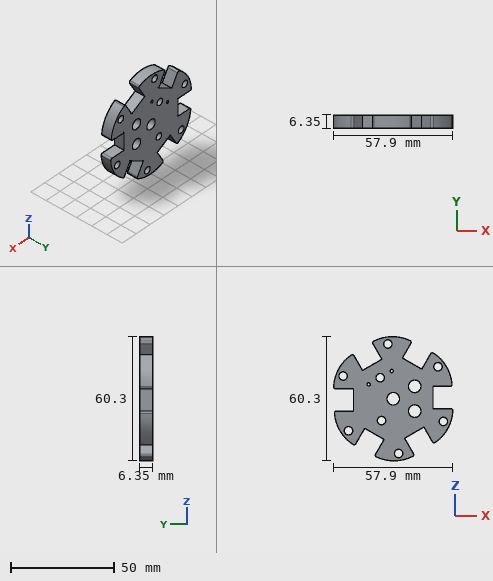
import cadquery as cq
import math

plate_diameter = 60.3
thickness = 6.35

arm_count = 6
arm_rim_radius = 20.0
arm_rim_side_offset = 0.35

slot_width = 10.75
slot_floor_distance = 19.35
slot_side_offset = 0.6
tip_fillet = 1.0

small_diameter = 1.5
medium_diameter = 4.0
large_diameter = 6.0
rim_circle_radius = 26.65
rim_first_angle = 35.6
inner_circle_radius = 12.0
large_hole_angles = (-30, 30)
medium_hole_angles = (121.8, 241.8)
small_hole_spacing = 12.95
small_pair_angle = 30

plate_radius = plate_diameter / 2
arm_pitch = 360 / arm_count
arm_rim_center_distance = plate_radius - arm_rim_radius


def polar(radius, angle):
    """Return the X, Z position at a radius and an angle in degrees."""
    turn = math.radians(angle)
    return (radius * math.cos(turn), radius * math.sin(turn))


def make_lobe(angle):
    """Round lobe whose outer side forms the rim of the arm at the given angle."""
    lobe = cq.Workplane("XZ").center(arm_rim_center_distance, arm_rim_side_offset)
    lobe = lobe.circle(arm_rim_radius).extrude(thickness / 2, both=True)
    return lobe.rotate((0, 0, 0), (0, -1, 0), angle)


def make_slot(angle):
    """Slot cutter that starts at the slot floor and runs out past the rim."""
    cutter = cq.Workplane("XY").box(plate_radius, 2 * thickness, slot_width, centered=(False, True, True))
    cutter = cutter.translate((slot_floor_distance, 0, slot_side_offset))
    return cutter.rotate((0, 0, 0), (0, -1, 0), angle)


def drill(body, points, diameter):
    cutters = cq.Workplane("XZ", origin=(0, thickness, 0)).pushPoints(points)
    cutters = cutters.circle(diameter / 2).extrude(2 * thickness)
    return body.cut(cutters)


first_arm_angle = arm_pitch / 2
plate = make_lobe(first_arm_angle)
for index in range(1, arm_count):
    plate = plate.union(make_lobe(first_arm_angle + index * arm_pitch))
for index in range(arm_count):
    plate = plate.cut(make_slot(index * arm_pitch))
corner_limit = (slot_floor_distance + plate_radius) / 2
tip_edges = [
    edge
    for edge in plate.edges("|Y").vals()
    if math.hypot(edge.Center().x, edge.Center().z) > corner_limit
]
plate = plate.newObject(tip_edges).fillet(tip_fillet)

rim_points = [polar(rim_circle_radius, rim_first_angle + index * arm_pitch) for index in range(arm_count)]
plate = drill(plate, rim_points, medium_diameter)

large_points = [(0, 0)] + [polar(inner_circle_radius, angle) for angle in large_hole_angles]
medium_points = [polar(inner_circle_radius, angle) for angle in medium_hole_angles]
plate = drill(plate, large_points, large_diameter)
plate = drill(plate, medium_points, medium_diameter)

pair_x, pair_z = medium_points[0]
half_x, half_z = polar(small_hole_spacing / 2, small_pair_angle)
small_points = [(pair_x + side * half_x, pair_z + side * half_z) for side in (-1, 1)]
result = drill(plate, small_points, small_diameter)